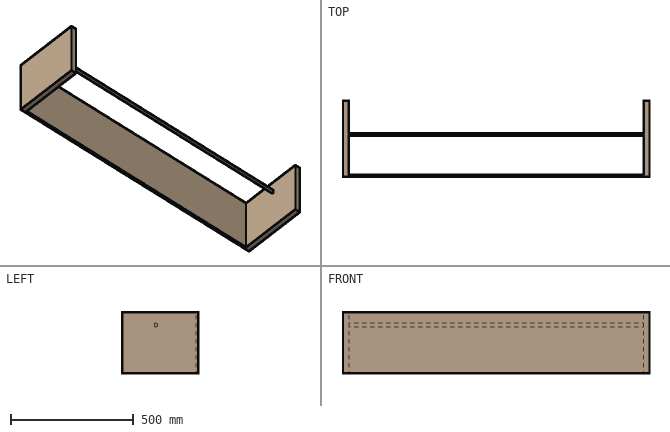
import cadquery as cq

length = 1250.0
depth = 310.0
height = 250.0

side_thickness = 25.0
front_thickness = 10.0

rod_section_depth = 11.0
rod_section_height = 15.0
rod_corner_radius = 4.4
rod_from_front = 172.0
rod_axis_height = 198.0

inner_length = length - 2 * side_thickness


def side_panel(x_start):
    """Full-depth end panel whose left face lies at x_start."""
    return cq.Workplane("XY").box(side_thickness, depth, height, centered=False).translate((x_start, 0, 0))


left_panel = side_panel(0)
right_panel = side_panel(length - side_thickness)

front_panel = (
    cq.Workplane("XY")
    .box(inner_length, front_thickness, height, centered=False)
    .translate((side_thickness, 0, 0))
)

rod = (
    cq.Workplane("YZ", origin=(side_thickness, rod_from_front, rod_axis_height))
    .rect(rod_section_depth, rod_section_height)
    .extrude(inner_length)
    .edges("|X")
    .fillet(rod_corner_radius)
)

result = left_panel.union(front_panel).union(right_panel).union(rod)